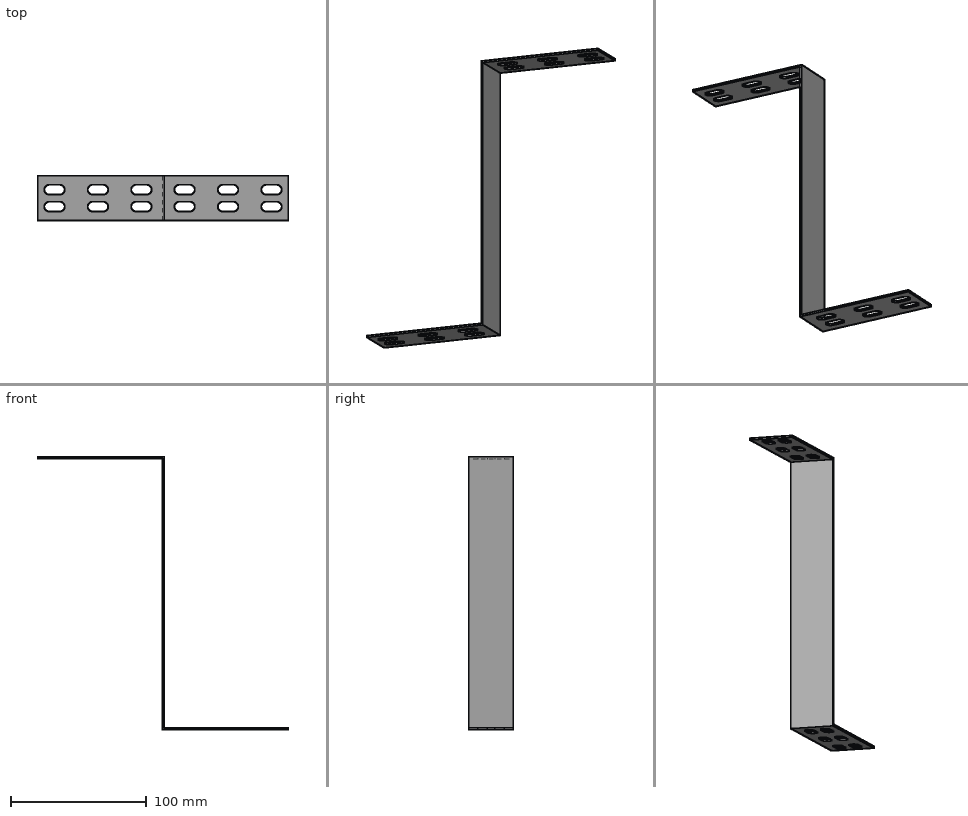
import cadquery as cq

length = 185.0
width = 33.0
height = 201.5
thickness = 1.5
top_length = 93.5

slot_length = 15.0
slot_width = 7.0
slot_pitch = 32.0
row_pitch = 12.5
slots_per_row = 3
rows = 2
end_to_slot_center = 12.5


def z_strip():
    """Bent strip: top flange toward -X, bottom flange toward +X, web in the middle."""
    bottom_length = length + thickness - top_length
    level = (height - thickness) / 2
    web_x = -length / 2 + top_length - thickness / 2
    web = cq.Workplane().box(thickness, width, height).translate((web_x, 0, 0))
    top_flange = cq.Workplane().box(top_length, width, thickness)
    top_flange = top_flange.translate(((top_length - length) / 2, 0, level))
    bottom_flange = cq.Workplane().box(bottom_length, width, thickness)
    bottom_flange = bottom_flange.translate(((length - bottom_length) / 2, 0, -level))
    return web.union(top_flange).union(bottom_flange)


def slot_grid(side):
    """Slot cutters through the flange on one side (-1 or +1 along X), full height."""
    grid_center = length / 2 - end_to_slot_center - slot_pitch * (slots_per_row - 1) / 2
    return (
        cq.Workplane("XY", origin=(side * grid_center, 0, -height / 2))
        .rarray(slot_pitch, row_pitch, slots_per_row, rows)
        .slot2D(slot_length, slot_width)
        .extrude(height)
    )


result = z_strip()
for side in (-1, 1):
    result = result.cut(slot_grid(side))